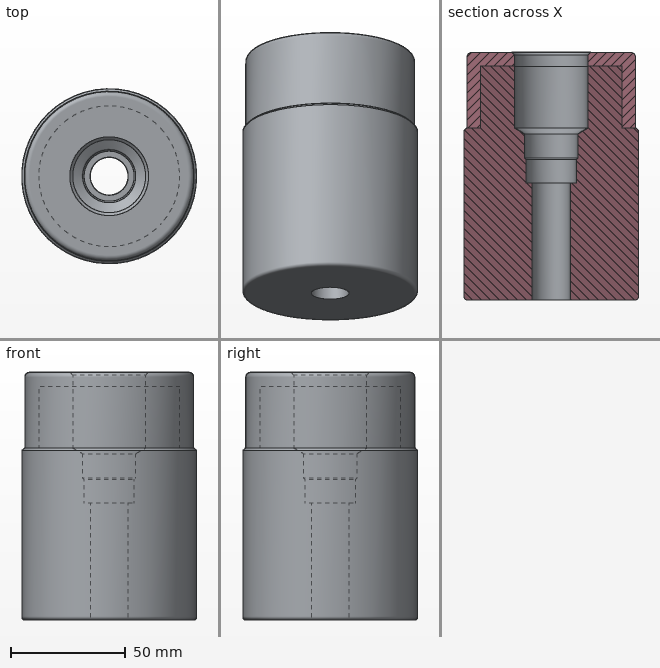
import cadquery as cq
import math

total_height = 108.0
joint_height = 74.9
base_radius = 38.1
cap_radius = 36.8

cap_fillet = 2.2
base_top_chamfer = 1.1
base_bottom_fillet = 1.5
mouth_chamfer = 1.3

cap_thickness = 6.2
spigot_radius = cap_radius - cap_thickness
spigot_top = total_height - cap_thickness

bore_radius = 15.9
bore_floor = joint_height
cone_end_radius = 11.9
cone_slope = 30.0
cone_bottom = bore_floor - (bore_radius - cone_end_radius) * math.tan(math.radians(cone_slope))

counterbore_radius = 11.5
lower_bore_radius = 10.9
through_radius = 8.2
counterbore_depth = 10.8
lower_bore_depth = 10.8
entry_bevel = cone_end_radius - counterbore_radius
shoulder_bevel = counterbore_radius - lower_bore_radius
counterbore_bottom = cone_bottom - counterbore_depth
lower_bore_bottom = counterbore_bottom - lower_bore_depth


def cylinder(radius, bottom, top):
    """Solid cylinder on the Z axis between two heights."""
    return cq.Workplane("XY").workplane(offset=bottom).circle(radius).extrude(top - bottom)


def make_cap():
    """Shell with a rounded rim and a chamfered opening, closed over the spigot."""
    body = cylinder(cap_radius, joint_height, total_height)
    body = body.faces(">Z").edges().fillet(cap_fillet)
    body = body.cut(cylinder(spigot_radius, joint_height, spigot_top))
    mouth = cylinder(bore_radius, spigot_top, total_height)
    body = body.cut(mouth)
    inner_edge = cq.selectors.RadiusNthSelector(0)
    return body.faces(">Z").edges(inner_edge).chamfer(mouth_chamfer)


def make_stepped_bore():
    """Revolved cutter for the whole bore of the base."""
    return (
        cq.Workplane("XZ")
        .moveTo(0, 0)
        .lineTo(through_radius, 0)
        .lineTo(through_radius, lower_bore_bottom)
        .lineTo(lower_bore_radius, lower_bore_bottom)
        .lineTo(lower_bore_radius, counterbore_bottom - shoulder_bevel)
        .lineTo(counterbore_radius, counterbore_bottom)
        .lineTo(counterbore_radius, cone_bottom - entry_bevel)
        .lineTo(cone_end_radius, cone_bottom)
        .lineTo(bore_radius, bore_floor)
        .lineTo(bore_radius, spigot_top)
        .lineTo(0, spigot_top)
        .close()
        .revolve(360, (0, 0), (0, 1))
    )


def make_base():
    """Lower cylinder with a spigot on top and a stepped bore on its axis."""
    body = cylinder(base_radius, 0, joint_height)
    body = body.faces(">Z").edges().chamfer(base_top_chamfer)
    body = body.faces("<Z").edges().fillet(base_bottom_fillet)
    body = body.union(cylinder(spigot_radius, joint_height, spigot_top))
    return body.cut(make_stepped_bore())


cap = make_cap()
base = make_base()

result = cq.Compound.makeCompound([cap.val(), base.val()])